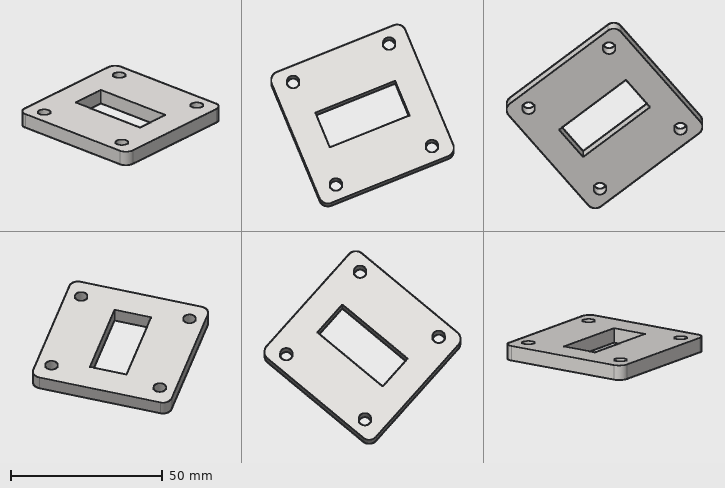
import cadquery as cq

plate_side = 47.8
plate_thickness = 5.0
corner_radius = 3.0

window_length = 28.5
window_width = 12.6

hole_diameter = 4.2
hole_spacing_x = 34.3
hole_spacing_y = 37.45

plate = (
    cq.Workplane("XY")
    .rect(plate_side, plate_side)
    .extrude(plate_thickness)
    .edges("|Z")
    .fillet(corner_radius)
)

plate_with_window = (
    plate.faces(">Z")
    .workplane()
    .rect(window_length, window_width)
    .cutThruAll()
)

result = (
    plate_with_window.faces(">Z")
    .workplane(origin=(0, 0, plate_thickness))
    .rect(hole_spacing_x, hole_spacing_y, forConstruction=True)
    .vertices()
    .hole(hole_diameter)
)